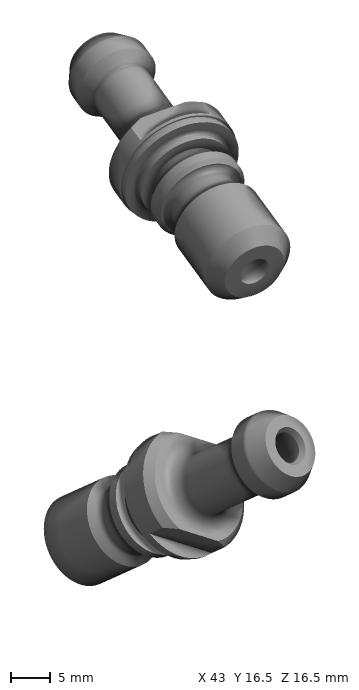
import cadquery as cq
import math

length = 43.0

head_radius = 5.5
head_back = 5.0
nose_corner = 2.5
nose_angle = math.radians(30)
nose_rounding = 1.0

shank_radius = 4.0
shank_rounding = 0.35
flare_radius = 2.0

flange_radius = 8.25
flange_front = 17.95
flange_chamfer = 1.05
flange_back = 21.95
seat_radius = 8.0
seat_back = 23.0
seat_fillet = 0.47
flats_end = 21.5
across_flats = 13.05

pilot_radius = 6.255
groove_radius = 4.75
groove_start = 24.12
groove_end = 26.7
pilot_chamfer_start = 28.0
pilot_chamfer = 0.5

neck_fillet = 0.85
neck_end = 31.1
thread_radius = 6.0
thread_chamfer = 1.85

bore_diameter = 4.0
bore_chamfer = 0.47
bore_chamfer_depth = 0.75


def rise_at_45(radius):
    """Height gained by an arc that turns from axial to 45 degrees."""
    return radius * (1 - math.cos(math.pi / 4))


def run_at_45(radius):
    """Axial length of the same arc."""
    return radius * math.sin(math.pi / 4)


def turned_body():
    nose_radius = head_radius - nose_corner * math.tan(nose_angle)
    rounding_reach = nose_rounding * math.tan(nose_angle / 2)
    rounding_start_x = nose_corner - rounding_reach * math.cos(nose_angle)
    rounding_start_r = head_radius - rounding_reach * math.sin(nose_angle)

    cone_end_r = shank_radius + rise_at_45(shank_rounding)
    cone_end_x = head_back + head_radius - cone_end_r
    shank_start = cone_end_x + run_at_45(shank_rounding)

    pilot_end = pilot_chamfer_start + pilot_chamfer
    ramp_start_x = neck_end + run_at_45(neck_fillet)
    ramp_start_r = groove_radius + rise_at_45(neck_fillet)
    thread_start = ramp_start_x + thread_radius - ramp_start_r

    profile = (
        cq.Workplane("XY")
        .moveTo(0, 0)
        .lineTo(0, nose_radius)
        .lineTo(rounding_start_x, rounding_start_r)
        .tangentArcPoint((nose_corner + rounding_reach, head_radius), relative=False)
        .lineTo(head_back, head_radius)
        .lineTo(cone_end_x, cone_end_r)
        .tangentArcPoint((shank_start, shank_radius), relative=False)
        .lineTo(flange_front - flare_radius, shank_radius)
        .tangentArcPoint((flange_front, shank_radius + flare_radius), relative=False)
        .lineTo(flange_front, flange_radius - flange_chamfer)
        .lineTo(flange_front + flange_chamfer, flange_radius)
        .lineTo(flange_back, flange_radius)
        .lineTo(flange_back, seat_radius)
        .lineTo(seat_back, seat_radius)
        .lineTo(seat_back, pilot_radius + seat_fillet)
        .tangentArcPoint((seat_back + seat_fillet, pilot_radius), relative=False)
        .lineTo(groove_start, pilot_radius)
        .lineTo(groove_start, groove_radius)
        .lineTo(groove_end, groove_radius)
        .lineTo(groove_end, pilot_radius)
        .lineTo(pilot_chamfer_start, pilot_radius)
        .lineTo(pilot_end, pilot_radius - pilot_chamfer)
        .lineTo(pilot_end, groove_radius + neck_fillet)
        .tangentArcPoint((pilot_end + neck_fillet, groove_radius), relative=False)
        .lineTo(neck_end, groove_radius)
        .tangentArcPoint((ramp_start_x, ramp_start_r), relative=False)
        .lineTo(thread_start, thread_radius)
        .lineTo(length - thread_chamfer, thread_radius)
        .lineTo(length, thread_radius - thread_chamfer)
        .lineTo(length, 0)
        .close()
    )
    return profile.revolve(360, (0, 0, 0), (1, 0, 0))


def flat_cutter(side):
    """Block that cuts the wrench flat on the +Z (1) or -Z (-1) side."""
    cut_height = flange_radius
    center_z = side * (across_flats + cut_height) / 2
    return cq.Workplane("XY").box(
        flats_end - flange_front, 2 * flange_radius, cut_height
    ).translate(((flange_front + flats_end) / 2, 0, center_z))


def bore_cutter():
    """Through bore with a chamfered mouth at the head."""
    bore_radius = bore_diameter / 2
    return (
        cq.Workplane("XY")
        .moveTo(0, 0)
        .lineTo(0, bore_radius + bore_chamfer)
        .lineTo(bore_chamfer_depth, bore_radius)
        .lineTo(length, bore_radius)
        .lineTo(length, 0)
        .close()
        .revolve(360, (0, 0, 0), (1, 0, 0))
    )


result = turned_body()
for side in (1, -1):
    result = result.cut(flat_cutter(side))
result = result.cut(bore_cutter())